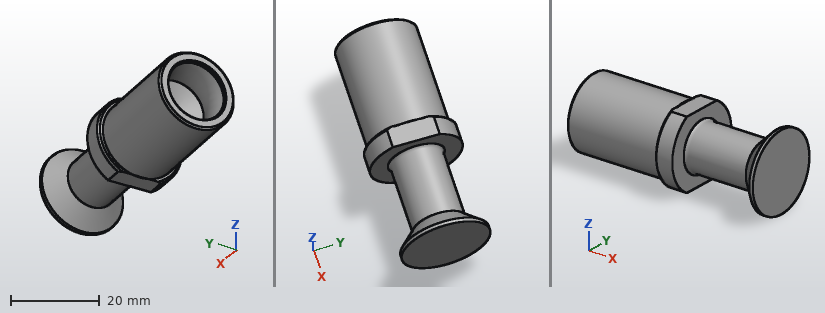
import cadquery as cq
import math

total_length = 53.5
flange_start = 26.0
flange_end = 31.0
head_rim_width = 1.0

sleeve_radius = 9.75
flange_radius = 22.0 / 2
shaft_radius = 6.25
head_radius = 21.0 / 2

sleeve_chamfer = 0.5
flange_chamfer = 0.5
neck_length = 1.0
neck_height = 0.5

flat_spacing = 19.0

mouth_radius = 7.3
mouth_chamfer = 0.25
throat_radius = 6.35
mouth_land = 0.55
throat_depth = 5.35
drill_point_angle = 118.0


def revolve_about_x(profile):
    """Revolve a closed XY half-profile a full turn about the X axis."""
    return profile.close().revolve(360, (0, 0, 0), (1, 0, 0))


def make_sleeve():
    sleeve = cq.Workplane("YZ").circle(sleeve_radius).extrude(flange_start)
    return sleeve.faces("<X").chamfer(sleeve_chamfer)


def make_flange():
    flange = cq.Workplane("YZ").workplane(offset=flange_start).circle(flange_radius)
    flange = flange.extrude(flange_end - flange_start).faces("<X").chamfer(flange_chamfer)
    between_flats = cq.Workplane("XY").box(2 * total_length, 2 * flange_radius, flat_spacing)
    return flange.intersect(between_flats)


def make_shaft_and_head():
    """Shaft with a neck arc tangent to it and a 45 degree countersunk head."""
    neck_arc_radius = (neck_length**2 + neck_height**2) / (2 * neck_height)
    rim_start = total_length - head_rim_width
    head_start = rim_start - (head_radius - shaft_radius)
    profile = (
        cq.Workplane("XY")
        .moveTo(flange_start, 0)
        .lineTo(flange_start, shaft_radius + neck_height)
        .lineTo(flange_end, shaft_radius + neck_height)
        .radiusArc((flange_end + neck_length, shaft_radius), -neck_arc_radius)
        .lineTo(head_start, shaft_radius)
        .lineTo(rim_start, head_radius)
        .lineTo(total_length, head_radius)
        .lineTo(total_length, 0)
    )
    return revolve_about_x(profile)


def make_bore():
    bulge_start = mouth_chamfer + mouth_land
    bore_depth = 2 * throat_depth - bulge_start
    tip_length = mouth_radius / math.tan(math.radians(drill_point_angle / 2))
    profile = (
        cq.Workplane("XY")
        .lineTo(0, mouth_radius + mouth_chamfer)
        .lineTo(mouth_chamfer, mouth_radius)
        .lineTo(bulge_start, mouth_radius)
        .threePointArc((throat_depth, throat_radius), (bore_depth, mouth_radius))
        .lineTo(bore_depth + tip_length, 0)
    )
    return revolve_about_x(profile)


result = make_sleeve().union(make_flange()).union(make_shaft_and_head()).cut(make_bore())